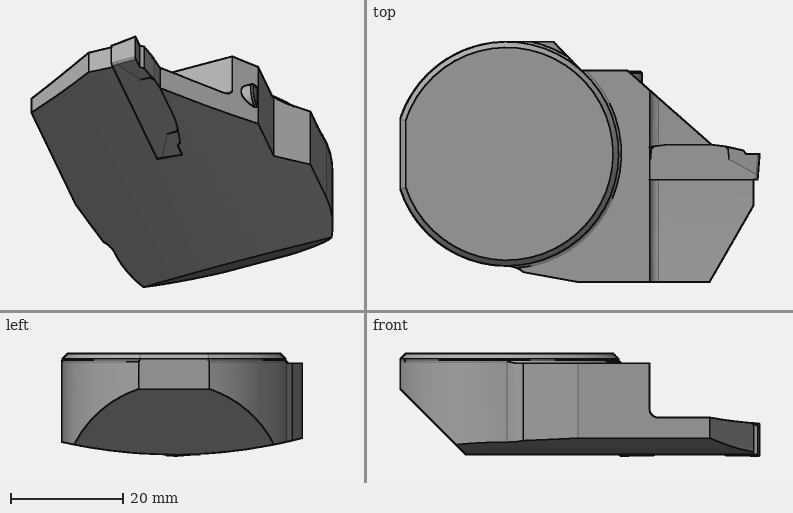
import cadquery as cq
import math


head_radius = 20.0
rim_radius = 19.95
rim_chamfer = 1.0
rim_bottom_z = -1.25
rim_fillet = 0.5
step_z = rim_bottom_z - rim_fillet
back_flat_x = -18.98
back_bevel_top_z = -6.35

underside_z = -18.05
underside_radius = 90.0
blade_low_z = -12.6
blade_top_radius = 218.0
wall_x = 25.48
wall_fillet = 1.5

front_y = -22.85
blade_end_x = 44.0
blade_end_y = -9.2
blade_corner_x = 36.15
front_taper_x = 12.65
neck_x = 3.0
neck_y = -21.1
rear_corner_x = 8.3
rear_ledge_x = 13.3
rear_ledge_y = 14.85
slant_start_x = 21.5
slant_end_x = 36.5

insert_tip_x = 45.12
insert_length = 25.0
insert_mid_x = insert_tip_x - insert_length / 2
insert_mid_z = -15.39
tip_half_width = 2.966
shank_half_width = 2.65
insert_base_y = -4.6
insert_back_y = 1.65
front_relief = 0.37
chip_land_x = 42.65
hump_x = 42.15
hump_y = 0.63
flank_x = 38.95
flank_y = 1.35
tip_corner_radius = 0.4
flare_upper = (39.5, 0.8)
flare_inner = (39.55, -0.9)
flare_outer = (44.2, -3.47)

screw_radius = 3.0
screw_x = 24.13 - screw_radius
screw_z = -10.0
screw_end_y = 14.7
screw_start_y = 8.0
screw_chamfer = 0.35

margin = 5.0
far = 100.0


def x_cylinder(radius, low_z):
    """Long cylinder along X whose lowest line is at y = 0, z = low_z."""
    return cq.Workplane("YZ").center(0, low_z + radius).circle(radius).extrude(far, both=True)


def turned_head():
    """Round head with a chamfered rim and a fillet running out onto the step."""
    run_out_radius = rim_radius + rim_fillet
    diagonal = rim_fillet * math.sqrt(0.5)
    return (
        cq.Workplane("XZ")
        .moveTo(0, 0)
        .lineTo(rim_radius - rim_chamfer, 0)
        .lineTo(rim_radius, -rim_chamfer)
        .lineTo(rim_radius, rim_bottom_z)
        .threePointArc((run_out_radius - diagonal, rim_bottom_z - diagonal), (run_out_radius, step_z))
        .lineTo(run_out_radius, underside_z)
        .lineTo(0, underside_z)
        .close()
        .revolve(360, (0, 0, 0), (0, 1, 0))
    )


def plan_prism():
    """Holder outline seen along Z, run through the full height."""
    neck_drop = -head_radius - neck_y
    neck_radius = (neck_x**2 + neck_drop**2) / (2 * neck_drop)
    half_angle = math.asin(neck_x / neck_radius) / 2
    neck_mid = (
        neck_radius * math.sin(half_angle),
        -head_radius - neck_radius * (1 - math.cos(half_angle)),
    )
    return (
        cq.Workplane("XY")
        .moveTo(0, head_radius)
        .threePointArc((-head_radius, 0), (0, -head_radius))
        .threePointArc(neck_mid, (neck_x, neck_y))
        .lineTo(front_taper_x, front_y)
        .lineTo(blade_corner_x, front_y)
        .lineTo(blade_end_x, blade_end_y)
        .lineTo(blade_end_x, insert_base_y)
        .lineTo(slant_end_x, insert_base_y)
        .lineTo(slant_end_x, insert_back_y)
        .lineTo(slant_start_x, rear_ledge_y)
        .lineTo(rear_ledge_x, rear_ledge_y)
        .lineTo(rear_corner_x, head_radius)
        .close()
        .extrude(underside_z)
    )


def step_block():
    """Everything below the step beside the round head."""
    return cq.Workplane("XY").workplane(offset=step_z).rect(2 * far, 2 * far).extrude(underside_z - step_z)


def blade_clearance():
    """Space above the blade: its floor is a shallow cylinder, filleted into the wall."""
    space = x_cylinder(blade_top_radius, blade_low_z).intersect(
        cq.Workplane("XY").box(far, far, far, centered=(False, True, True)).translate((wall_x, 0, 0))
    )
    return space.edges("<X and <Z").fillet(wall_fillet)


def back_cut():
    """Back flat, the bevel above it on the rim, and the 45 degree bevel under it."""
    bevel_run = back_bevel_top_z - underside_z + margin
    return (
        cq.Workplane("XZ")
        .moveTo(back_flat_x + rim_chamfer, 0)
        .lineTo(back_flat_x, -rim_chamfer)
        .lineTo(back_flat_x, back_bevel_top_z)
        .lineTo(back_flat_x + bevel_run, back_bevel_top_z - bevel_run)
        .lineTo(back_flat_x - margin, back_bevel_top_z - bevel_run)
        .lineTo(back_flat_x - margin, 0)
        .close()
        .extrude(far, both=True)
    )


def clamp_screw():
    """Chamfered screw end standing out of the slanted rear face."""
    return (
        cq.Workplane("XZ", origin=(screw_x, screw_start_y, screw_z))
        .circle(screw_radius)
        .extrude(screw_start_y - screw_end_y)
        .faces(">Y")
        .chamfer(screw_chamfer)
    )


def insert_half_profile():
    """Outer half of the insert's side profile, from its middle to one cutting edge."""
    return (
        cq.Workplane("XY", origin=(0, 0, insert_mid_z))
        .moveTo(insert_mid_x, insert_back_y)
        .lineTo(slant_end_x, insert_back_y)
        .lineTo(flank_x, flank_y)
        .lineTo(hump_x, hump_y)
        .lineTo(chip_land_x, 0)
        .lineTo(insert_tip_x, 0)
        .lineTo(insert_tip_x - front_relief, insert_base_y)
        .lineTo(insert_mid_x, insert_base_y)
        .close()
    )


def insert_flare():
    """Wedge that widens the insert from the flare line up to the cutting edge."""
    run_x = flare_outer[0] - flare_inner[0]
    run_y = flare_outer[1] - flare_inner[1]
    run = math.hypot(run_x, run_y)
    across = (-run_y / run, run_x / run, 0)
    reach = (insert_tip_x - flare_outer[0]) * across[0] - flare_outer[1] * across[1]
    wedge_plane = cq.Plane(origin=(*flare_outer, insert_mid_z), xDir=across, normal=(run_x, run_y, 0))
    wedge = (
        cq.Workplane(wedge_plane)
        .moveTo(0, -shank_half_width)
        .lineTo(reach, -tip_half_width)
        .lineTo(reach, tip_half_width)
        .lineTo(0, shank_half_width)
        .close()
        .extrude(far, both=True)
    )
    tip_zone = (
        cq.Workplane("XY", origin=(0, 0, insert_mid_z))
        .polyline([
            (flank_x, flank_y),
            flare_upper,
            flare_inner,
            (flare_outer[0], insert_base_y),
            (insert_tip_x + margin, insert_base_y),
            (insert_tip_x + margin, flank_y),
        ])
        .close()
        .extrude(tip_half_width, both=True)
    )
    return wedge.intersect(tip_zone)


def round_front_corners(end):
    """Round the corners that run down from the two ends of the cutting edge."""
    return end.faces(">X").edges(">Z or <Z").fillet(tip_corner_radius)


def make_insert():
    """Double-ended grooving insert with rounded corners at both cutting edges."""
    tip = insert_half_profile().extrude(tip_half_width, both=True).intersect(insert_flare())
    shank = insert_half_profile().extrude(shank_half_width, both=True)
    half = round_front_corners(shank).union(round_front_corners(tip))
    return half.union(half.mirror("YZ", (insert_mid_x, 0, 0)))


def make_pocket(insert):
    """Insert seat: open through the underside, and open upward in front of the wall."""
    outline = insert_half_profile().extrude(far, both=True)
    outline = outline.union(outline.mirror("YZ", (insert_mid_x, 0, 0)))
    under_insert = cq.Workplane("XY", origin=(0, 0, insert_mid_z)).rect(far, far).extrude(-far)
    front_of_wall = cq.Workplane("YZ", origin=(wall_x, 0, 0)).rect(far, far).extrude(far)
    return insert.union(outline.intersect(under_insert.union(front_of_wall)))


def make_holder(pocket):
    """Holder with its blade, back bevel, screw end and insert pocket."""
    body = plan_prism().intersect(turned_head().union(step_block()))
    body = body.cut(blade_clearance()).cut(back_cut())
    body = body.intersect(x_cylinder(underside_radius, underside_z))
    return body.union(clamp_screw()).cut(pocket)


insert = make_insert()
holder = make_holder(make_pocket(insert))
result = cq.Compound.makeCompound([holder.val(), insert.val()])